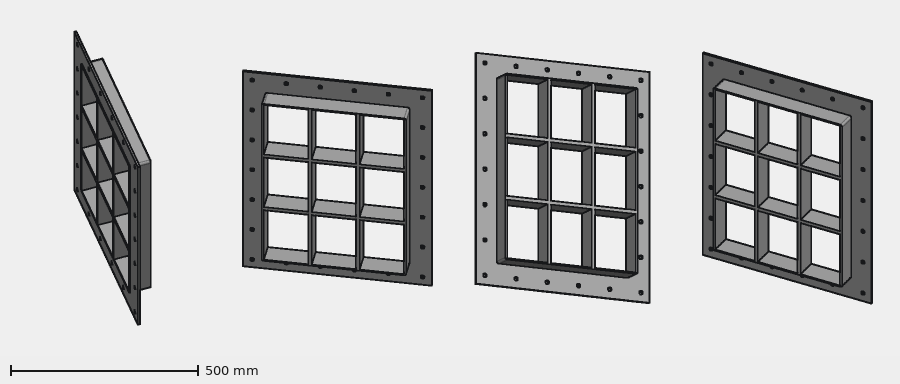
import cadquery as cq

flange_width = 513.0
flange_height = 634.5
flange_thickness = 6.5

frame_width = 393.0
frame_height = 511.5
frame_depth = 60.0
frame_corner_radius = 6.5
front_lip = 2.0

columns = 3
rows = 3
cell_width = 120.0
cell_height = 160.5
upright_thickness = 10.0
crossbar_thickness = 11.0

hole_diameter = 10.0
hole_edge_distance = 25.5
holes_across = 6
holes_up = 7


def slab(width, height, front_y, depth):
    """Centred rectangular slab, upright in XZ, running back from front_y."""
    return cq.Workplane("XY").box(width, depth, height, centered=(True, False, True)).translate((0, front_y, 0))


def centred_grid(pitch_x, count_x, pitch_z, count_z):
    """Grid positions centred on the origin, as (x, z) pairs."""
    return [
        ((i - (count_x - 1) / 2) * pitch_x, (j - (count_z - 1) / 2) * pitch_z)
        for i in range(count_x)
        for j in range(count_z)
    ]


def bolt_hole_positions():
    """Evenly spaced positions along the flange border, each corner once."""
    span_x = flange_width - 2 * hole_edge_distance
    span_z = flange_height - 2 * hole_edge_distance
    pitch_x = span_x / (holes_across - 1)
    pitch_z = span_z / (holes_up - 1)
    top_and_bottom = centred_grid(pitch_x, holes_across, span_z, 2)
    sides = centred_grid(span_x, 2, pitch_z, holes_up - 2)
    return top_and_bottom + sides


flange = slab(flange_width, flange_height, front_lip, flange_thickness)
frame = slab(frame_width, frame_height, 0, frame_depth).edges("|Y").fillet(frame_corner_radius)

cell_cutters = (
    cq.Workplane("XZ")
    .pushPoints(centred_grid(cell_width + upright_thickness, columns, cell_height + crossbar_thickness, rows))
    .rect(cell_width, cell_height)
    .extrude(-frame_depth)
)
hole_cutters = (
    cq.Workplane("XZ")
    .pushPoints(bolt_hole_positions())
    .circle(hole_diameter / 2)
    .extrude(-frame_depth)
)

result = flange.union(frame).cut(cell_cutters).cut(hole_cutters)